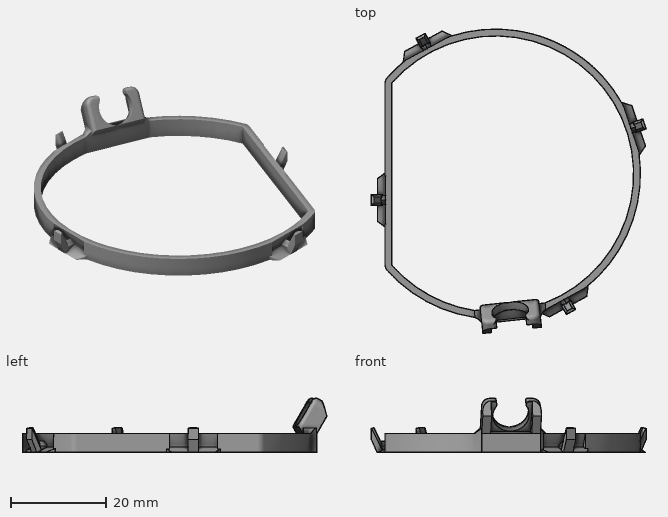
import cadquery as cq
import math

ring_radius = 30.4
ring_wall = 1.45
ring_height = 4.0
flat_distance = 23.15
corner_radius = 1.8

arc_clip_angles = (118.5, 18.6, -61.3)
flat_clip_y = -5.4
recess_half_width = 5.05
flat_recess_depth = 0.1
recess_undercut = 0.75
foot_reach = 1.7
foot_rise = 1.15
foot_back_rise = 1.6
foot_step = 0.05
foot_tip_half_width = 4.45
foot_root_half_width = 5.75
clip_embed = 0.9
hook_width = 2.25
hook_foot = 1.8
hook_reach = 3.0
hook_knee_height = 2.75
hook_shoulder_height = 5.05
hook_height = 5.25
hook_top_reach = 2.4
hook_root_height = 0.25
hook_edge_chamfer = 0.5
brace_width = 1.9
brace_ridge_height = 2.35

holder_angle = -83.9
holder_half_width = 6.2
holder_lean = 30.0
holder_depth = 6.4
block_front = 30.9
plate_back_radius = 27.0
plate_back_height = 5.5
plate_thickness = 1.9
plate_length = 7.15
arm_inner = 4.35
arm_tip_height = 7.6
arm_bevel = 15.0
arm_corner_radius = 1.7
back_edge_radius = 0.8
seat_radius = 3.8
seat_centre = 3.75
seat_opening_half = 3.1
seat_tip_radius = 0.65
floor_drop = 0.1
lip_thickness = 0.4
flare_length = 1.3
flare_height = 5.1
flare_hollow = 0.2

cut_margin = 3.2
ring_inner = ring_radius - ring_wall
lean_sin = math.sin(math.radians(holder_lean))
lean_cos = math.cos(math.radians(holder_lean))
plate_plane = cq.Plane(
    origin=(plate_back_radius, 0, plate_back_height),
    xDir=(0, 1, 0),
    normal=(lean_cos, 0, -lean_sin),
)


def extrude_across(points, width):
    """Extrude a radius-height outline equally to both sides of the XZ plane."""
    return cq.Workplane("XZ").polyline(points).close().extrude(width / 2, both=True)


def flat_sided_disc(radius, flat):
    """Disc of the ring's height with everything beyond X = -flat removed."""
    disc = cq.Workplane("XY").circle(radius).extrude(ring_height)
    keep = cq.Workplane("XY").box(
        2 * radius, 2 * radius, ring_height, centered=(False, True, False)
    ).translate((-flat, 0, 0))
    return disc.intersect(keep)


def make_ring():
    outer = flat_sided_disc(ring_radius, flat_distance)
    outer = outer.edges("|Z").edges("<X").fillet(corner_radius)
    return outer.cut(flat_sided_disc(ring_inner, flat_distance - ring_wall))


def make_recess():
    """Cutter whose face leans from the YZ plane at the top edge into the wall below."""
    return extrude_across(
        [
            (0, ring_height),
            (-recess_undercut, foot_back_rise),
            (-recess_undercut, 0),
            (cut_margin, 0),
            (cut_margin, ring_height),
        ],
        2 * recess_half_width,
    )


def make_foot():
    section = extrude_across(
        [
            (-clip_embed, 0),
            (foot_reach, 0),
            (-recess_undercut, foot_rise),
            (-recess_undercut - foot_step, foot_back_rise),
            (-clip_embed, foot_back_rise),
        ],
        2 * foot_root_half_width,
    )
    plan = (
        cq.Workplane("XY")
        .polyline(
            [
                (-clip_embed, -foot_root_half_width),
                (0, -foot_root_half_width),
                (foot_reach, -foot_tip_half_width),
                (foot_reach, foot_tip_half_width),
                (0, foot_root_half_width),
                (-clip_embed, foot_root_half_width),
            ]
        )
        .close()
        .extrude(foot_back_rise)
    )
    return section.intersect(plan)


def make_hook():
    hook = extrude_across(
        [
            (0, 0),
            (hook_foot, 0),
            (hook_reach, hook_knee_height),
            (hook_reach, hook_shoulder_height),
            (hook_top_reach, hook_height),
            (0, hook_root_height),
        ],
        hook_width,
    )
    middle = (hook_top_reach / 2, 0, (hook_height + hook_root_height) / 2)
    inner_face = hook.faces(cq.selectors.NearestToPointSelector(middle))
    return inner_face.edges("not |Y").chamfer(hook_edge_chamfer)


def make_brace():
    """Roof-topped bar from the wall to the middle of the hook."""
    half = brace_width / 2
    eave = brace_ridge_height - half
    bar = (
        cq.Workplane("YZ", origin=(-clip_embed, 0, 0))
        .polyline([(-half, 0), (half, 0), (half, eave), (0, brace_ridge_height), (-half, eave)])
        .close()
        .extrude(clip_embed + hook_foot)
    )
    slope = (hook_reach - hook_foot) / hook_knee_height
    front_limit = extrude_across(
        [
            (-clip_embed, 0),
            (hook_foot, 0),
            (hook_foot + slope * brace_ridge_height, brace_ridge_height),
            (-clip_embed, brace_ridge_height),
        ],
        brace_width,
    )
    return bar.intersect(front_limit)


def make_clip():
    return make_foot().union(make_hook()).union(make_brace())


def plate_point(depth, rise):
    """Radius and height of a point given through and up the leaning plate."""
    return (
        plate_back_radius + depth * lean_cos + rise * lean_sin,
        plate_back_height - depth * lean_sin + rise * lean_cos,
    )


def trench_outline():
    """Space between the arms, in front of the plate and behind the front lip."""
    lip_back = block_front - lip_thickness
    floor_back = plate_point(plate_thickness, -floor_drop)
    run = lip_back - floor_back[0]
    floor_front_height = floor_back[1] - run * lean_sin / lean_cos
    return [
        floor_back,
        (lip_back, floor_front_height),
        (lip_back, ring_height),
        (block_front + cut_margin, ring_height),
        plate_point(holder_depth, plate_length + cut_margin),
        plate_point(plate_thickness, plate_length + cut_margin),
    ]


def holder_section():
    """Outline through an arm: block, leaning front, bevel, top and back."""
    arm_tip = (block_front + (arm_tip_height - ring_height) * lean_sin / lean_cos, arm_tip_height)
    bevel_tan = math.tan(math.radians(arm_bevel))
    top_back = plate_point(0, plate_length)
    gap = arm_tip[0] - top_back[0] - bevel_tan * (top_back[1] - arm_tip[1])
    top_depth = gap / (lean_cos - bevel_tan * lean_sin)
    back_drop = (ring_inner - plate_back_radius) * lean_cos / lean_sin
    return [
        (ring_inner, 0),
        (block_front, 0),
        (block_front, ring_height),
        arm_tip,
        plate_point(top_depth, plate_length),
        top_back,
        plate_point(0, 0),
        (ring_inner, plate_back_height - back_drop),
    ]


def plate_slab():
    """Slab with the plate's rounded silhouette, deep enough to hold the whole holder."""
    height = 2 * plate_length
    slab = (
        cq.Workplane(plate_plane)
        .center(0, plate_length - height / 2)
        .rect(2 * holder_half_width, height)
        .extrude(holder_depth)
    )
    top_corners = slab.faces(cq.DirectionMinMaxSelector(plate_plane.yDir))
    slab = top_corners.edges("not |Y").fillet(arm_corner_radius)
    back_face = slab.faces(cq.DirectionMinMaxSelector(plate_plane.zDir, False))
    return back_face.edges().fillet(back_edge_radius)


def seat_cutter():
    """Round seat with a narrower, round-lipped mouth, cut through the plate."""
    seat = cq.Workplane(plate_plane).center(0, seat_centre).circle(seat_radius)
    mouth_top = plate_length + cut_margin
    tip_outer = seat_opening_half + seat_tip_radius
    tip_start = plate_length - seat_tip_radius
    arc_step = seat_tip_radius * math.sqrt(0.5)
    arc_middle = (tip_outer - arc_step, tip_start + arc_step)
    mouth = (
        cq.Workplane(plate_plane)
        .moveTo(-seat_opening_half, seat_centre)
        .lineTo(seat_opening_half, seat_centre)
        .lineTo(seat_opening_half, tip_start)
        .threePointArc(arc_middle, (tip_outer, plate_length))
        .lineTo(tip_outer, mouth_top)
        .lineTo(-tip_outer, mouth_top)
        .lineTo(-tip_outer, plate_length)
        .threePointArc((-arc_middle[0], arc_middle[1]), (-seat_opening_half, tip_start))
        .close()
    )
    return seat.extrude(plate_thickness).union(mouth.extrude(plate_thickness))


def make_flares():
    """Sloping shoulders that blend the block's ends into the ring."""
    end = holder_half_width + flare_length
    end_outer = math.sqrt(ring_radius**2 - end**2)
    end_inner = math.sqrt(ring_inner**2 - end**2)
    flare_front = block_front - lip_thickness / 2
    waist_radius = (end_outer + flare_front) / 2 - flare_hollow
    waist_left = (waist_radius, -holder_half_width - flare_length / 2)
    waist_right = (waist_radius, -waist_left[1])
    plan = (
        cq.Workplane("XY")
        .moveTo(end_inner, -end)
        .lineTo(end_outer, -end)
        .threePointArc(waist_left, (flare_front, -holder_half_width))
        .lineTo(flare_front, holder_half_width)
        .threePointArc(waist_right, (end_outer, end))
        .lineTo(end_inner, end)
        .close()
        .extrude(flare_height)
    )
    side = (
        cq.Workplane("YZ")
        .polyline(
            [
                (-end, 0),
                (end, 0),
                (end, ring_height),
                (holder_half_width, flare_height),
                (-holder_half_width, flare_height),
                (-end, ring_height),
            ]
        )
        .close()
        .extrude(block_front)
    )
    return plan.intersect(side)


def make_holder():
    holder = extrude_across(holder_section(), 2 * holder_half_width).intersect(plate_slab())
    holder = holder.union(make_flares())
    trench = extrude_across(trench_outline(), 2 * arm_inner)
    return holder.cut(trench).cut(seat_cutter())


def place(shape, angle):
    """Turn a shape built along +X to its angle around the ring."""
    return shape.rotate((0, 0, 0), (0, 0, 1), angle)


trench = extrude_across(trench_outline(), 2 * arm_inner)
result = make_ring().cut(place(trench, holder_angle)).union(place(make_holder(), holder_angle))

arc_recess_distance = math.sqrt(ring_radius**2 - recess_half_width**2)
seats = [(angle, (arc_recess_distance, 0, 0)) for angle in arc_clip_angles]
seats.append((180, (flat_distance - flat_recess_depth, -flat_clip_y, 0)))
for angle, offset in seats:
    result = result.cut(place(make_recess().translate(offset), angle))
for angle, offset in seats:
    result = result.union(place(make_clip().translate(offset), angle))